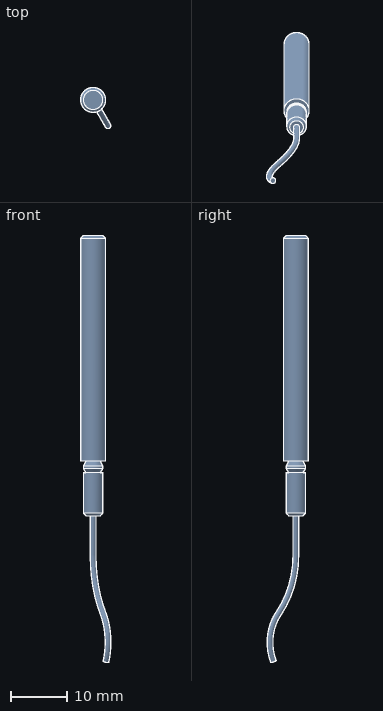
import cadquery as cq
import math

total_length = 75.85

body_diameter = 4.5
body_length = 40.05
body_chamfer = 0.5

sleeve_diameter = 3.5
neck_diameter = 2.6
upper_groove_width = 0.9
ring_width = 0.45
lower_groove_width = 0.7
sleeve_length = 7.2
sleeve_chamfer = 0.5

cable_diameter = 1.05
cable_straight_length = 7.0
cable_heading = -60.0
first_bend_radius = 16.7
first_bend_angle = 38.0
second_bend_radius = 8.35
end_tilt = 24.0

body_bottom = total_length - body_length
ring_top = body_bottom - upper_groove_width
ring_bottom = ring_top - ring_width
sleeve_top = ring_bottom - lower_groove_width
sleeve_bottom = sleeve_top - sleeve_length
cable_bend_start = sleeve_bottom - sleeve_chamfer - cable_straight_length


def cylinder(diameter, bottom, top):
    """Vertical cylinder on the Z axis between two heights."""
    return cq.Workplane("XY").workplane(offset=bottom).circle(diameter / 2).extrude(top - bottom)


def make_body():
    return cylinder(body_diameter, body_bottom, total_length).faces(">Z").chamfer(body_chamfer)


def make_sleeve():
    bottom = sleeve_bottom - sleeve_chamfer
    sleeve_radius = sleeve_diameter / 2
    neck_radius = neck_diameter / 2
    profile = (
        cq.Workplane("XZ")
        .moveTo(0, bottom)
        .lineTo(sleeve_radius - sleeve_chamfer, bottom)
        .lineTo(sleeve_radius, sleeve_bottom)
        .lineTo(sleeve_radius, sleeve_top)
        .lineTo(neck_radius, sleeve_top)
        .lineTo(sleeve_radius, ring_bottom)
        .lineTo(sleeve_radius, ring_top)
        .lineTo(neck_radius, body_bottom)
        .lineTo(0, body_bottom)
        .close()
    )
    return profile.revolve(360, (0, 0, 0), (0, 1, 0))


def first_bend_point(angle):
    """Point on the first bend, as (sideways offset, height)."""
    return (
        first_bend_radius * (1 - math.cos(angle)),
        cable_bend_start - first_bend_radius * math.sin(angle),
    )


def make_cable():
    turn = math.radians(first_bend_angle)
    inflection = first_bend_point(turn)
    center_offset = inflection[0] - second_bend_radius * math.cos(turn)
    center_height = inflection[1] - second_bend_radius * math.sin(turn)

    def second_bend_point(angle):
        return (
            center_offset + second_bend_radius * math.cos(angle),
            center_height + second_bend_radius * math.sin(angle),
        )

    end_angle = -math.radians(end_tilt)
    path = (
        cq.Workplane("XZ")
        .moveTo(0, sleeve_bottom)
        .lineTo(0, cable_bend_start)
        .threePointArc(first_bend_point(turn / 2), inflection)
        .threePointArc(second_bend_point((turn + end_angle) / 2), second_bend_point(end_angle))
    )
    cable = cq.Workplane("XY").workplane(offset=sleeve_bottom).circle(cable_diameter / 2).sweep(path)
    return cable.rotate((0, 0, 0), (0, 0, 1), cable_heading)


result = make_body().union(make_sleeve()).union(make_cable())